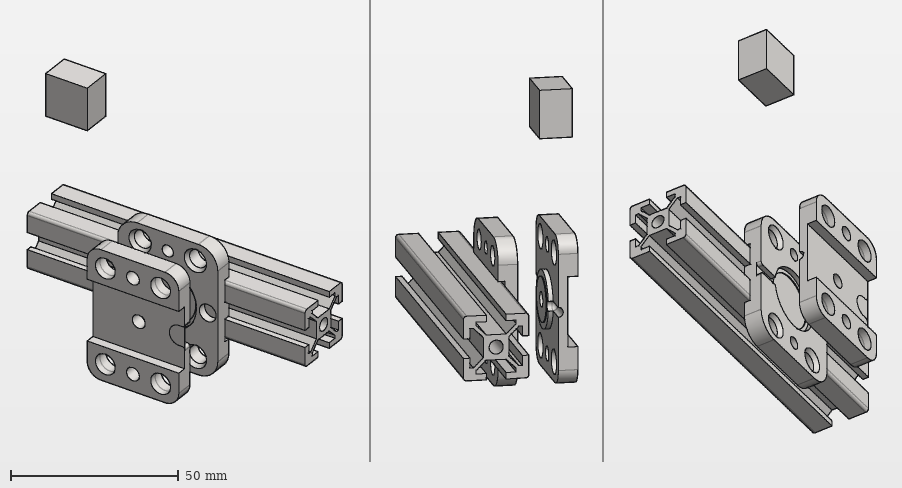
import cadquery as cq
import math


RAIL_LENGTH = 100.0
RAIL_SIZE = 20.0
RAIL_EDGE_RADIUS = 1.0
RAIL_BORE_DIAMETER = 4.3
SLOT_OPENING = 6.0
SLOT_INNER_WIDTH = 12.2
SLOT_LIP = 2.0
CORE_SIZE = 7.8
WEB_THICKNESS = 1.2

PLATE_CENTER_X = 3.2
PLATE_HEIGHT = 45.9
PLATE_THICKNESS = 6.0
RELIEF_HEIGHT = 21.7
BOLT_SPACING_X = 19.9
BOLT_SPACING_Z = 33.7
MOUTH_RADIUS = 1.0

BASE_WIDTH = 36.0
BASE_CORNER_RADIUS = 7.0
SEAT_DEPTH = 2.1
TONGUE_HEIGHT = 5.8
BASE_BOLT_DIAMETER = 6.2
COUNTERSINK_DIAMETER = 8.0
COUNTERSINK_DEPTH = 1.5
BASE_PIN_DIAMETER = 4.0
RECESS_DIAMETER = 20.6
RECESS_DEPTH = 1.6
RECESS_STEP_DIAMETER = 18.0
RECESS_STEP_DEPTH = 0.3
KEYWAY_WIDTH = 3.0
SOCKET_DIAMETER = 6.0
SOCKET_DEPTH = 2.8
SOCKET_OFFSET_X = 14.4

COVER_WIDTH = 33.0
COVER_CORNER_RADIUS = 5.0
COVER_GAP = 12.7
COVER_RELIEF_DEPTH = 3.1
COVER_BOLT_DIAMETER = 7.1
COVER_BOLT_STRAIGHT_DEPTH = 2.4
COVER_BOLT_BACK_DIAMETER = 7.6
COVER_PIN_DIAMETER = 4.6
BOSS_DIAMETER = 18.0
BOSS_HEIGHT = 1.5
BOSS_STEP_DIAMETER = 14.0
BOSS_STEP_HEIGHT = 0.3
GROOVE_WIDTH = 3.0
CLEARANCE_SLOT_WIDTH = 7.0
CLEARANCE_SLOT_DEPTH = 2.7

BLOCK_WIDTH = 15.0
BLOCK_DEPTH = 10.0
BLOCK_HEIGHT = 15.0
BLOCK_CENTER_X = -24.5
BLOCK_BACK_Y = -17.0
OVERALL_HEIGHT = 96.8

BASE_BACK_Y = SEAT_DEPTH - RAIL_SIZE / 2
BASE_FRONT_Y = BASE_BACK_Y - PLATE_THICKNESS
COVER_BACK_Y = BASE_FRONT_Y - COVER_GAP
COVER_FRONT_Y = COVER_BACK_Y - PLATE_THICKNESS
COVER_RELIEF_Y = COVER_FRONT_Y + COVER_RELIEF_DEPTH

BOLT_POINTS = [
    (side * BOLT_SPACING_X / 2, end * BOLT_SPACING_Z / 2) for side in (-1, 1) for end in (-1, 1)
]
PIN_POINTS = [(0, end * BOLT_SPACING_Z / 2) for end in (-1, 1)]


def face_plane(y):
    """Sketch plane at the given Y, centred on the plates, with local x = X, y = Z and normal = -Y."""
    return cq.Workplane("XZ", origin=(PLATE_CENTER_X, y, 0))


def box_between(width, height, back_y, front_y):
    """Box centred on the plates in X and Z, from back_y forward to front_y."""
    return face_plane(back_y).rect(width, height).extrude(back_y - front_y)


def plate_blank(width, corner_radius, back_y):
    """Plate with four rounded corners, before any feature is cut."""
    blank = box_between(width, PLATE_HEIGHT, back_y, back_y - PLATE_THICKNESS)
    return blank.edges("|Y").fillet(corner_radius)


def cylinders(points, diameter, back_y, front_y):
    """Cylinders along Y at (X, Z) points measured from the plate centre."""
    return face_plane(back_y).pushPoints(points).circle(diameter / 2).extrude(back_y - front_y)


def cones(points, back_diameter, front_diameter, back_y, front_y):
    """Tapered holes that change evenly from the back to the front diameter."""
    cone = cq.Solid.makeCone(
        back_diameter / 2,
        front_diameter / 2,
        back_y - front_y,
        pnt=cq.Vector(PLATE_CENTER_X, back_y, 0),
        dir=cq.Vector(0, -1, 0),
    )
    return cq.Workplane().newObject([cone.translate(cq.Vector(x, 0, z)) for x, z in points]).combine()


def flared_channel(inner_x, edge_x, width, back_y, front_y):
    """Straight channel from inner_x out to a plate side, with its mouth rounded outward there."""
    outward = math.copysign(1, edge_x - inner_x)
    half = width / 2
    flare_x = edge_x - outward * MOUTH_RADIUS
    wide = half + MOUTH_RADIUS
    bend_x = flare_x + outward * MOUTH_RADIUS * math.sin(math.pi / 4)
    bend_z = wide - MOUTH_RADIUS * math.cos(math.pi / 4)
    return (
        face_plane(back_y)
        .moveTo(inner_x, -half)
        .lineTo(flare_x, -half)
        .threePointArc((bend_x, -bend_z), (edge_x, -wide))
        .lineTo(edge_x, wide)
        .threePointArc((bend_x, bend_z), (flare_x, half))
        .lineTo(inner_x, half)
        .close()
        .extrude(back_y - front_y)
    )


def rail_slot():
    """T-slot on the +Y side of the rail, drawn as (Y, Z) points and run along its length."""
    outer = RAIL_SIZE / 2
    lip = outer - SLOT_LIP
    opening = SLOT_OPENING / 2
    inner = SLOT_INNER_WIDTH / 2
    core = CORE_SIZE / 2
    web_offset = WEB_THICKNESS / math.sqrt(2)
    upper = [
        (outer, opening),
        (lip, opening),
        (lip, inner),
        (inner + web_offset, inner),
        (core, core - web_offset),
    ]
    lower = [(y, -z) for y, z in reversed(upper)]
    start = cq.Workplane("YZ", origin=(-RAIL_LENGTH / 2, 0, 0))
    return start.polyline(upper + lower).close().extrude(RAIL_LENGTH)


def make_rail():
    rail = cq.Workplane("XY").box(RAIL_LENGTH, RAIL_SIZE, RAIL_SIZE).edges("|X").fillet(RAIL_EDGE_RADIUS)
    rail = rail.faces("<X").workplane().hole(RAIL_BORE_DIAMETER)
    slot = rail_slot()
    for quarter in range(4):
        rail = rail.cut(slot.rotate((0, 0, 0), (1, 0, 0), 90 * quarter))
    return rail


def make_base_plate():
    plate = plate_blank(BASE_WIDTH, BASE_CORNER_RADIUS, BASE_BACK_Y)

    seat_y = BASE_BACK_Y - SEAT_DEPTH
    seat = box_between(BASE_WIDTH, RELIEF_HEIGHT, BASE_BACK_Y, seat_y)
    plate = plate.cut(seat.cut(box_between(BASE_WIDTH, TONGUE_HEIGHT, BASE_BACK_Y, seat_y)))

    sink_y = BASE_FRONT_Y + COUNTERSINK_DEPTH
    plate = plate.cut(cylinders(BOLT_POINTS, BASE_BOLT_DIAMETER, BASE_BACK_Y, BASE_FRONT_Y))
    plate = plate.cut(cones(BOLT_POINTS, BASE_BOLT_DIAMETER, COUNTERSINK_DIAMETER, sink_y, BASE_FRONT_Y))
    plate = plate.cut(cylinders(PIN_POINTS, BASE_PIN_DIAMETER, BASE_BACK_Y, BASE_FRONT_Y))

    recess_y = BASE_FRONT_Y + RECESS_DEPTH
    step_y = recess_y + RECESS_STEP_DEPTH
    plate = plate.cut(cylinders([(0, 0)], RECESS_DIAMETER, recess_y, BASE_FRONT_Y))
    plate = plate.cut(cylinders([(0, 0)], RECESS_STEP_DIAMETER, step_y, recess_y))
    plate = plate.cut(flared_channel(0, -BASE_WIDTH / 2, KEYWAY_WIDTH, recess_y, BASE_FRONT_Y))

    socket_y = BASE_FRONT_Y + SOCKET_DEPTH
    return plate.cut(cylinders([(SOCKET_OFFSET_X, 0)], SOCKET_DIAMETER, socket_y, BASE_FRONT_Y))


def ball_groove():
    """Round-bottomed groove in the back of the cover, from its -X side to a round end at the boss step."""
    radius = GROOVE_WIDTH / 2
    end_x = -BOSS_STEP_DIAMETER / 2 - radius
    length = end_x + COVER_WIDTH / 2
    boss_y = COVER_BACK_Y + BOSS_HEIGHT
    center = (PLATE_CENTER_X + end_x, COVER_BACK_Y, 0)
    trough = cq.Workplane("YZ", origin=center).circle(radius).extrude(-length)
    ball = cq.Workplane("XY", origin=center).sphere(radius)
    sides = face_plane(boss_y).center(end_x - length / 2, 0).rect(length, GROOVE_WIDTH).extrude(BOSS_HEIGHT)
    end = cylinders([(end_x, 0)], GROOVE_WIDTH, boss_y, COVER_BACK_Y)
    return sides.union(end).union(trough.union(ball))


def make_cover_plate():
    plate = plate_blank(COVER_WIDTH, COVER_CORNER_RADIUS, COVER_BACK_Y)
    plate = plate.cut(box_between(COVER_WIDTH, RELIEF_HEIGHT, COVER_RELIEF_Y, COVER_FRONT_Y))

    boss_y = COVER_BACK_Y + BOSS_HEIGHT
    boss_top_y = boss_y + BOSS_STEP_HEIGHT
    plate = plate.union(cylinders([(0, 0)], BOSS_DIAMETER, boss_y, COVER_BACK_Y))
    plate = plate.union(cylinders([(0, 0)], BOSS_STEP_DIAMETER, boss_top_y, boss_y))

    flare_y = COVER_FRONT_Y + COVER_BOLT_STRAIGHT_DEPTH
    plate = plate.cut(cylinders(BOLT_POINTS, COVER_BOLT_DIAMETER, flare_y, COVER_FRONT_Y))
    plate = plate.cut(
        cones(BOLT_POINTS, COVER_BOLT_BACK_DIAMETER, COVER_BOLT_DIAMETER, COVER_BACK_Y, flare_y)
    )
    plate = plate.cut(cylinders(PIN_POINTS + [(0, 0)], COVER_PIN_DIAMETER, boss_top_y, COVER_FRONT_Y))

    slot_floor_y = COVER_BACK_Y - CLEARANCE_SLOT_DEPTH
    plate = plate.cut(ball_groove())
    plate = plate.cut(cylinders([(SOCKET_OFFSET_X, 0)], CLEARANCE_SLOT_WIDTH, COVER_BACK_Y, slot_floor_y))
    return plate.cut(
        flared_channel(
            SOCKET_OFFSET_X, COVER_WIDTH / 2, CLEARANCE_SLOT_WIDTH, COVER_BACK_Y, slot_floor_y
        )
    )


def make_block():
    top_z = OVERALL_HEIGHT - PLATE_HEIGHT / 2
    center = (BLOCK_CENTER_X, BLOCK_BACK_Y - BLOCK_DEPTH / 2, top_z - BLOCK_HEIGHT / 2)
    return cq.Workplane("XY", origin=center).box(BLOCK_WIDTH, BLOCK_DEPTH, BLOCK_HEIGHT)


rail = make_rail()
base_plate = make_base_plate()
cover_plate = make_cover_plate()
block = make_block()

bodies = [rail, base_plate, cover_plate, block]
result = cq.Compound.makeCompound([body.solids().val() for body in bodies])